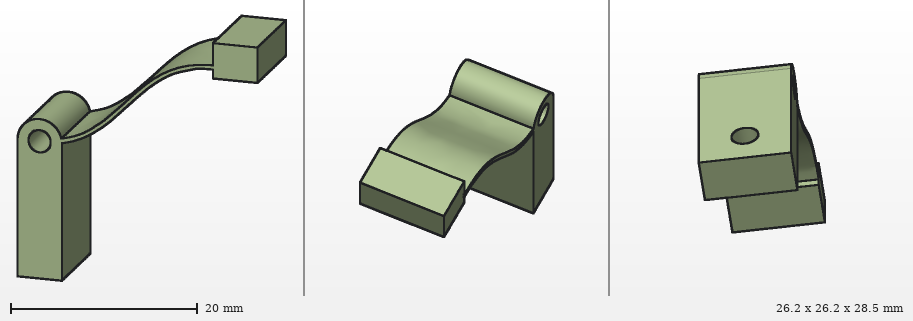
import cadquery as cq
import math

HEADING = 45.0
WIDTH = 10.0
TOTAL_LENGTH = 27.0
TOTAL_HEIGHT = 28.46

BLOCK_THICKNESS = 5.0
BLOCK_HEIGHT = 17.96
PIN_HOLE_DIAMETER = 2.5
BLIND_HOLE_DIAMETER = 2.9
BLIND_HOLE_DEPTH = 3.0
BLIND_HOLE_HEIGHT = 4.0

PAD_LENGTH = 5.0
PAD_HEIGHT = 4.0

STRIP_THICKNESS = 0.5
STRIP_RISE_IN_PAD = 1.25
STRIP_HANDLE = 9.5

round_radius = BLOCK_THICKNESS / 2
round_center = (round_radius, BLOCK_HEIGHT - round_radius)
pad_start = TOTAL_LENGTH - PAD_LENGTH
pad_bottom = TOTAL_HEIGHT - PAD_HEIGHT
strip_end = (pad_start, pad_bottom + STRIP_RISE_IN_PAD)

profile_plane = cq.Workplane("XZ", origin=(0, WIDTH / 2, 0))


def make_block():
    """Upright block with a half-round top."""
    shoulder_height = round_center[1]
    return (
        profile_plane
        .lineTo(BLOCK_THICKNESS, 0)
        .lineTo(BLOCK_THICKNESS, shoulder_height)
        .threePointArc((round_radius, BLOCK_HEIGHT), (0, shoulder_height))
        .close()
        .extrude(WIDTH)
    )


def make_pad():
    """Rectangular pad at the raised end of the strip."""
    return (
        profile_plane
        .moveTo(pad_start, pad_bottom)
        .lineTo(TOTAL_LENGTH, pad_bottom)
        .lineTo(TOTAL_LENGTH, TOTAL_HEIGHT)
        .lineTo(pad_start, TOTAL_HEIGHT)
        .close()
        .extrude(WIDTH)
    )


def strip_handles():
    """Control points of the strip's mid-surface S-curve, horizontal at both ends."""
    start_handle = (round_center[0] + STRIP_HANDLE, round_center[1])
    end_handle = (strip_end[0] - STRIP_HANDLE, strip_end[1])
    return [round_center, start_handle, end_handle, strip_end]


def curve_point_and_normal(points, t):
    """Position and upward unit normal of a cubic Bezier curve at parameter t."""
    s = 1 - t
    weights = (s**3, 3 * s**2 * t, 3 * s * t**2, t**3)
    slopes = (-3 * s**2, 3 * s**2 - 6 * s * t, 6 * s * t - 3 * t**2, 3 * t**2)
    position = [sum(w * p[axis] for w, p in zip(weights, points)) for axis in (0, 1)]
    tangent = [sum(w * p[axis] for w, p in zip(slopes, points)) for axis in (0, 1)]
    speed = math.hypot(*tangent)
    return position, (-tangent[1] / speed, tangent[0] / speed)


def strip_surface_points(offset, segments=12):
    """Points on the curve parallel to the mid-surface at the given offset."""
    surface = []
    for step in range(segments + 1):
        position, normal = curve_point_and_normal(strip_handles(), step / segments)
        surface.append((position[0] + offset * normal[0], position[1] + offset * normal[1]))
    return surface


def make_strip():
    """Thin S-shaped leaf of constant thickness from the block to the pad."""
    lower = strip_surface_points(-STRIP_THICKNESS / 2)
    upper = strip_surface_points(STRIP_THICKNESS / 2)
    upper.reverse()
    return (
        profile_plane
        .moveTo(*lower[0])
        .spline(lower[1:], tangents=[(1, 0), (1, 0)], includeCurrent=True)
        .lineTo(*upper[0])
        .spline(upper[1:], tangents=[(-1, 0), (-1, 0)], includeCurrent=True)
        .close()
        .extrude(WIDTH)
    )


def make_pin_hole():
    """Through hole along the axis of the rounded top."""
    return profile_plane.center(*round_center).circle(PIN_HOLE_DIAMETER / 2).extrude(WIDTH)


def make_blind_hole():
    """Flat-bottomed hole at mid-width of the block's outer face."""
    return (
        cq.Workplane("YZ")
        .center(0, BLIND_HOLE_HEIGHT)
        .circle(BLIND_HOLE_DIAMETER / 2)
        .extrude(BLIND_HOLE_DEPTH)
    )


body = make_block().union(make_strip()).union(make_pad())
body = body.cut(make_pin_hole()).cut(make_blind_hole())
result = body.rotate((0, 0, 0), (0, 0, 1), HEADING)